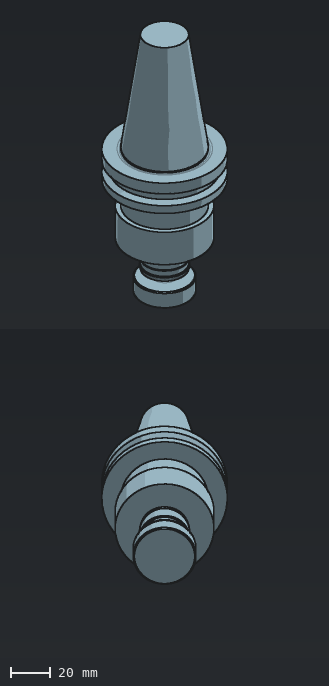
import cadquery as cq

head_dia = 31.8
head_height = 9.8
head_chamfer = 0.6
stem_dia = 10.9
stem_lower_flare_dia = 13.5
stem_upper_flare_dia = 12.8
stem_bottom = 11.5
stem_top = 13.5
collar_bottom = 14.3
collar_dia = 25.4
collar_end_dia = 24.6
collar_bottom_land = 15.9
collar_top_land = 16.7
collar_top = 17.1

pilot_dia = 25.4
pilot_neck_dia = 24.5
pilot_bottom = 20.4
pilot_top = 30.7
pilot_chamfer = 1.0

shoulder_dia = 50.0
shoulder_bottom = 32.7
shoulder_top = 52.3
shank_dia = 44.4

flange_dia = 63.5
flange_bottom = 68.2
flange_top = 86.6
groove_dia = 56.0
groove_lower_edge = 72.9
groove_floor_bottom = 74.3
groove_floor_top = 78.0
groove_upper_edge = 80.0

recess_outer_dia = 48.3
recess_floor_dia = 46.0
recess_depth = 0.3

total_height = 155.8
taper_base_dia = 44.4
taper_base = 87.5
taper_lip_bottom = 87.0
taper_ratio = 7 / 24
taper_root_dia = 43.9
taper_top_dia = taper_base_dia - taper_ratio * (total_height - taper_base)


def section_points(*rings):
    """Turn (diameter, height) pairs into half-section points."""
    return [(diameter / 2, height) for diameter, height in rings]


def flared_stem(profile):
    """Add the stem, with a concave flare at each end."""
    radius = stem_dia / 2
    lower_radius = stem_lower_flare_dia / 2
    upper_radius = stem_upper_flare_dia / 2
    return (
        profile.lineTo(lower_radius, head_height)
        .threePointArc(flare_middle(lower_radius, head_height, stem_bottom), (radius, stem_bottom))
        .lineTo(radius, stem_top)
        .threePointArc(flare_middle(upper_radius, collar_bottom, stem_top), (upper_radius, collar_bottom))
    )


def flare_middle(wide_radius, wide_height, narrow_height):
    """Middle point of a flare arc that leaves the stem smoothly."""
    bulge = 0.7
    radius = wide_radius + bulge * (stem_dia / 2 - wide_radius)
    height = wide_height + (1 - bulge) * (narrow_height - wide_height)
    return (radius, height)


screw_head = section_points(
    (head_dia - 2 * head_chamfer, 0),
    (head_dia, head_chamfer),
    (head_dia, head_height - head_chamfer),
    (head_dia - 2 * head_chamfer, head_height),
)

upper_body = section_points(
    (collar_end_dia, collar_bottom),
    (collar_dia, collar_bottom_land),
    (collar_dia, collar_top_land),
    (pilot_neck_dia, collar_top),
    (pilot_neck_dia, pilot_bottom),
    (pilot_dia, pilot_bottom + pilot_chamfer),
    (pilot_dia, pilot_top - pilot_chamfer),
    (pilot_neck_dia, pilot_top),
    (pilot_neck_dia, shoulder_bottom),
    (shoulder_dia, shoulder_bottom),
    (shoulder_dia, shoulder_top),
    (shank_dia, shoulder_top),
    (shank_dia, flange_bottom),
    (flange_dia, flange_bottom),
    (flange_dia, groove_lower_edge),
    (groove_dia, groove_floor_bottom),
    (groove_dia, groove_floor_top),
    (flange_dia, groove_upper_edge),
    (flange_dia, flange_top),
    (recess_outer_dia, flange_top),
    (recess_floor_dia, flange_top - recess_depth),
    (taper_root_dia, flange_top - recess_depth),
    (taper_root_dia, taper_lip_bottom),
    (taper_base_dia, taper_lip_bottom),
    (taper_base_dia, taper_base),
    (taper_top_dia, total_height),
)

profile = cq.Workplane("XZ").moveTo(0, 0)
for point in screw_head:
    profile = profile.lineTo(*point)
profile = flared_stem(profile)
for point in upper_body:
    profile = profile.lineTo(*point)
profile = profile.lineTo(0, total_height).close()

result = profile.revolve(360, (0, 0, 0), (0, 1, 0))